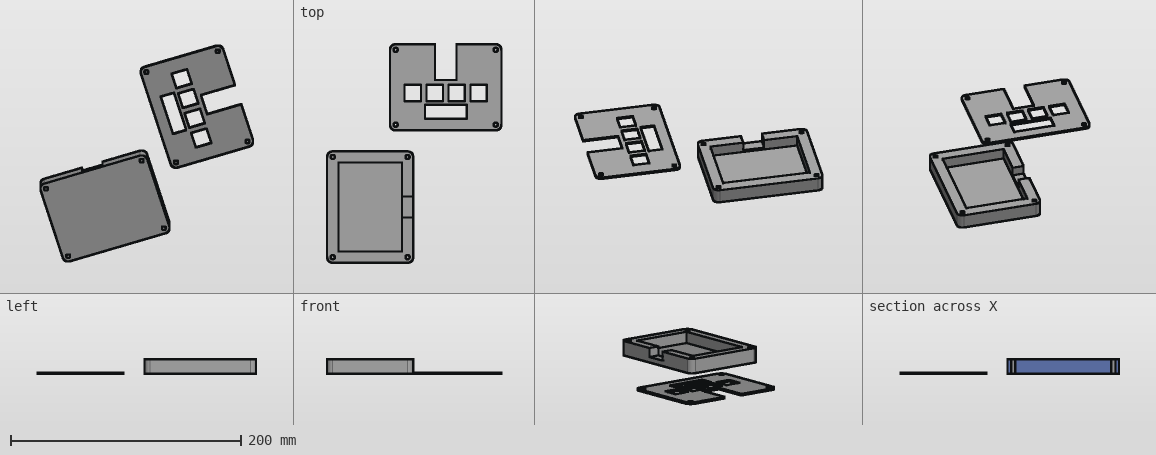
import cadquery as cq

long_side = 97.0
short_side = 75.0
corner_radius = 5.0
screw_hole_diameter = 3.4
screw_hole_inset = 5.0
notch_width = 18.5

housing_height = 13.0
floor_thickness = 3.0
wall_thickness = 10.0
notch_floor_height = 5.0

lid_thickness = 1.5
lid_center_x = 65.6
lid_center_y = 104.06
lid_notch_depth = 31.0

key_count = 4
key_size = 14.0
key_pitch = 19.05
key_row_y = -5.0
display_length = 36.0
display_width = 12.0
display_x = 0.25
display_y = -21.25


def rounded_plate(size_x, size_y, thickness):
    """Plate on Z = 0 with rounded corners and a through screw hole near each corner."""
    plate = cq.Workplane("XY").rect(size_x, size_y).extrude(thickness)
    plate = plate.edges("|Z").fillet(corner_radius)
    screw_holes = (
        cq.Workplane("XY")
        .rect(size_x - 2 * screw_hole_inset, size_y - 2 * screw_hole_inset, forConstruction=True)
        .vertices()
        .circle(screw_hole_diameter / 2)
        .extrude(thickness)
    )
    return plate.cut(screw_holes)


def make_housing():
    """Open tray with a notch through the middle of its +X wall."""
    cavity = (
        cq.Workplane("XY", origin=(0, 0, floor_thickness))
        .rect(short_side - 2 * wall_thickness, long_side - 2 * wall_thickness)
        .extrude(housing_height - floor_thickness)
    )
    wall_notch = (
        cq.Workplane("XY", origin=((short_side - wall_thickness) / 2, 0, notch_floor_height))
        .rect(wall_thickness, notch_width)
        .extrude(housing_height - notch_floor_height)
    )
    return rounded_plate(short_side, long_side, housing_height).cut(cavity).cut(wall_notch)


def make_lid():
    """Thin plate with a notch in its +Y edge, a row of key openings and a display window."""
    edge_notch = (
        cq.Workplane("XY", origin=(0, (short_side - lid_notch_depth) / 2, 0))
        .rect(notch_width, lid_notch_depth)
        .extrude(lid_thickness)
    )
    key_openings = (
        cq.Workplane("XY", origin=(0, key_row_y, 0))
        .rarray(key_pitch, 1, key_count, 1)
        .rect(key_size, key_size)
        .extrude(lid_thickness)
    )
    display_window = (
        cq.Workplane("XY", origin=(display_x, display_y, 0))
        .rect(display_length, display_width)
        .extrude(lid_thickness)
    )
    lid = rounded_plate(long_side, short_side, lid_thickness)
    lid = lid.cut(edge_notch).cut(key_openings).cut(display_window)
    return lid.translate((lid_center_x, lid_center_y, 0))


housing = make_housing()
lid = make_lid()

result = cq.Compound.makeCompound([housing.val(), lid.val()])